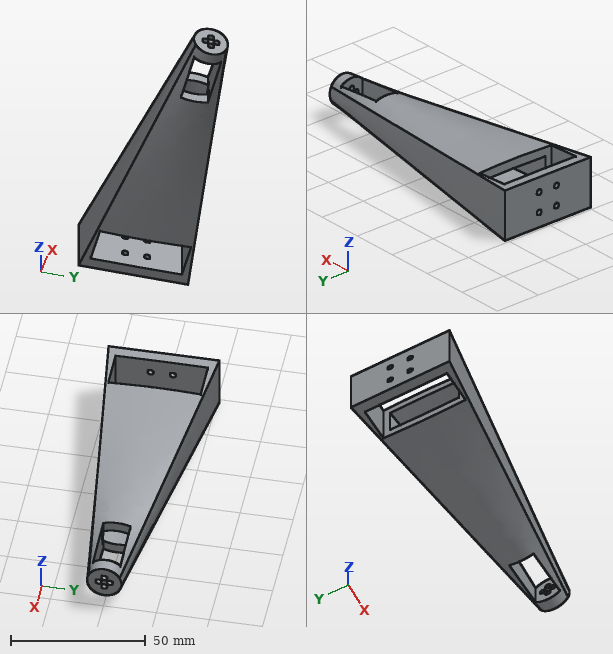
import cadquery as cq
import math

length = 117.0
base_width = 41.9
base_height = base_width / 2
tip_diameter = 13.0

wall = 4.0
base_plate = 4.5
tip_collar = 5.0

base_window_length = 14.0
base_window_width = 34.9
tip_window_length = 20.0
tip_window_width = 10.3

base_hole_diameter = 2.2
base_hole_spacing = 8.4
tip_hole_diameter = 2.2
tip_hole_circle = 4.2


def tapered_solid(width, height, diameter):
    """Ruled loft from a rectangle to a circle split along the diagonals of the base rectangle."""
    radius = diameter / 2
    diagonal = math.hypot(base_width, base_height)
    side = radius * base_width / diagonal
    rise = radius * base_height / diagonal
    return (
        cq.Workplane("YZ")
        .moveTo(-width / 2, -height / 2)
        .lineTo(width / 2, -height / 2)
        .lineTo(width / 2, height / 2)
        .lineTo(-width / 2, height / 2)
        .close()
        .workplane(offset=length)
        .moveTo(-side, -rise)
        .threePointArc((0, -radius), (side, -rise))
        .threePointArc((radius, 0), (side, rise))
        .threePointArc((0, radius), (-side, rise))
        .threePointArc((-radius, 0), (-side, -rise))
        .close()
        .loft(ruled=True, combine=True)
    )


def block(start, size_x, size_y):
    """Box centred on the X axis, tall enough to pass through the body."""
    blank = cq.Workplane("XY").box(size_x, size_y, 2 * base_height, centered=(False, True, True))
    return blank.translate((start, 0, 0))


def axial_holes(start, depth, diameter, points):
    """Round holes along X."""
    return cq.Workplane("YZ").workplane(offset=start).pushPoints(points).circle(diameter / 2).extrude(depth)


body = tapered_solid(base_width, base_height, tip_diameter)

tip_wall_start = length - tip_collar
cavity = tapered_solid(base_width - 2 * wall, base_height - 2 * wall, tip_diameter - 2 * wall)
cavity = cavity.intersect(block(base_plate, tip_wall_start - base_plate, base_width))

base_window = block(base_plate, base_window_length, base_window_width)
tip_window = block(tip_wall_start - tip_window_length, tip_window_length, tip_window_width)

half = base_hole_spacing / 2
base_points = [(y, z) for y in (-half, half) for z in (-half, half)]
base_holes = axial_holes(0, base_plate, base_hole_diameter, base_points)

pitch_radius = tip_hole_circle / 2
tip_points = [(pitch_radius, 0), (-pitch_radius, 0), (0, pitch_radius), (0, -pitch_radius)]
tip_holes = axial_holes(tip_wall_start, tip_collar, tip_hole_diameter, tip_points)

result = body.cut(cavity).cut(base_window).cut(tip_window).cut(base_holes).cut(tip_holes)